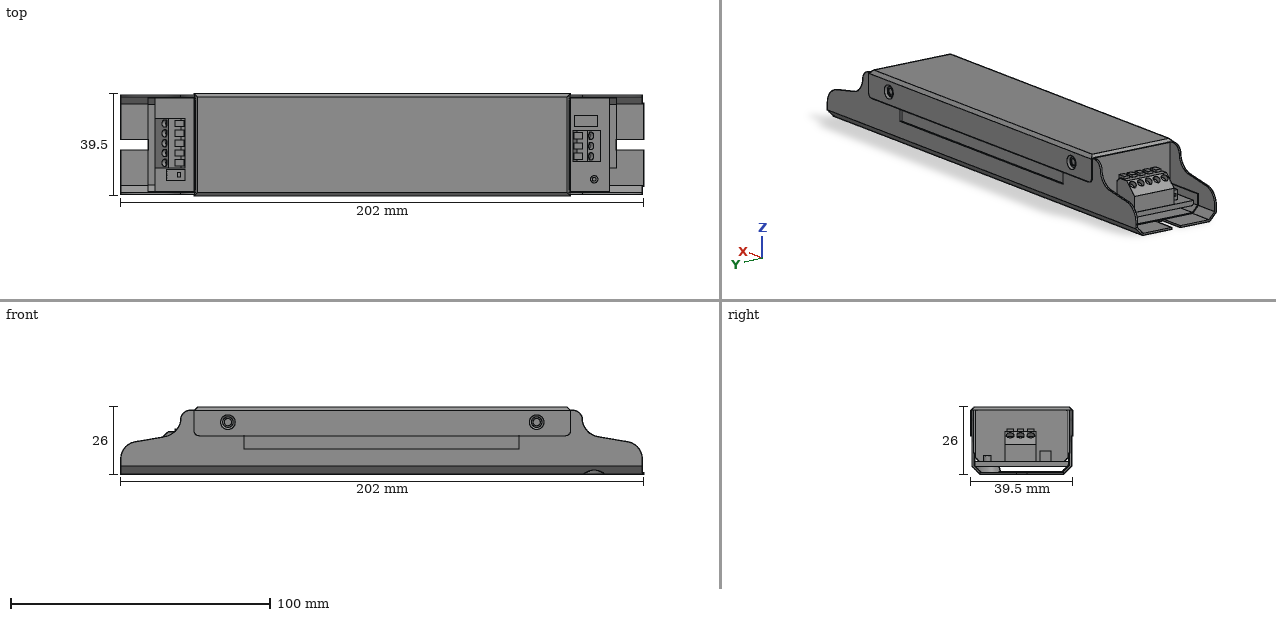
import cadquery as cq

channel_left = -101.0
channel_right = 100.4
channel_width = 38.5
channel_height = 24.8
channel_sheet = 0.8
channel_corner = 3.2
end_tab = 0.6
tie_slot_width = 4.0
tie_slot_length = 11.3
side_slot_length = 106.3
side_slot_bottom = 9.9
side_slot_top = 18.2

film_sheet = 0.5
film_length = 180.8
film_height = 8.3
film_notch_start = 74.7
film_notch_side = -8.9

board_length = 175.5
board_bottom = 3.0
board_top = 5.0

cover_length = 145.5
cover_width = 39.5
cover_top = 26.0
cover_bottom = 15.0
cover_bevel = 1.5
flap_corner = 2.0
housing_sheet = 0.6
housing_gap = 0.6
housing_bevel = 1.5

screw_spacing = 119.2
screw_height = 20.2
screw_head_diameter = 5.7
screw_socket_diameter = 2.8
screw_head_depth = 0.8
screw_socket_depth = 1.2

terminal_front_height = 11.5
terminal_top = 16.5
terminal_back_bevel = 1.6
wire_hole_diameter = 2.8
wire_hole_depth = 2.0
wire_hole_height = 15.2
button_length = 3.5
button_width = 2.5
button_top = 17.5
button_setback = 0.5

connector_top = 9.0
connector_socket = 1.0
connector_socket_depth = 1.6
connector_socket_pitch = 1.6
connector_socket_height = 7.0
lever_length = 1.2
lever_width = 1.8
lever_top = 10.3
pin_x = 81.8
pin_y = -13.3
pin_diameter = 2.8
pin_bore = 1.5
pin_bore_depth = 1.6
pin_top = 7.3

dimple_base_diameter = 11.0
dimple_top_diameter = 9.3
dimple_sheet = 0.5
dimple_depth = 2.2

channel_length = channel_right - channel_left
channel_middle = (channel_left + channel_right) / 2
channel_inside = channel_width - 2 * channel_sheet
film_inside = channel_inside - 2 * film_sheet
housing_width = channel_inside - 2 * housing_gap
bevel_shrink = 2 - 2 ** 0.5


def block(x_min, x_max, y_min, y_max, z_min, z_max):
    """Box given by its limits along the three axes."""
    size = (x_max - x_min, y_max - y_min, z_max - z_min)
    return cq.Workplane("XY").box(*size, centered=False).translate((x_min, y_min, z_min))


def bevelled_section(width, bottom, top, bevel):
    """Points of a trough outline in YZ with 45-degree lower corners."""
    half = width / 2
    return [
        (half - bevel, bottom),
        (half, bottom + bevel),
        (half, top),
        (-half, top),
        (-half, bottom + bevel),
        (bevel - half, bottom),
    ]


def trough(x_min, x_max, width, bottom, top, bevel, sheet):
    """Open trough along X; the sheet keeps its thickness round the bevels."""
    length = x_max - x_min
    inner_bevel = bevel - sheet * bevel_shrink
    outer = bevelled_section(width, bottom, top, bevel)
    inner = bevelled_section(width - 2 * sheet, bottom + sheet, top, inner_bevel)
    plane = cq.Workplane("YZ", origin=(x_min, 0, 0))
    shell = plane.polyline(outer).close().extrude(length)
    return shell.cut(plane.polyline(inner).close().extrude(length))


def side_profile():
    """Side outline of the channel: low rounded ends rising in an S to full height."""
    half = channel_length / 2
    right_half = (
        cq.Workplane("XZ", origin=(channel_middle, channel_width / 2, 0))
        .moveTo(0, 0)
        .lineTo(half, 0)
        .lineTo(half, 6.3)
        .threePointArc((99.0, 10.5), (94.7, 12.7))
        .lineTo(84.0, 14.5)
        .threePointArc((79.4, 17.0), (77.5, 20.6))
        .lineTo(77.5, 21.6)
        .threePointArc((76.4, 23.8), (73.5, channel_height))
        .lineTo(0, channel_height)
        .close()
        .extrude(channel_width)
    )
    left_half = right_half.mirror("YZ", (channel_middle, 0, 0))
    return right_half.union(left_half)


def make_channel():
    """Channel with floor tabs at +X, tie slots at both ends and a slot in each wall."""
    channel = trough(
        channel_left, channel_right, channel_width, 0, channel_height, channel_corner, channel_sheet
    ).intersect(side_profile())
    tab_half = channel_width / 2 - channel_corner
    tab_end = channel_right + end_tab
    channel = channel.union(block(channel_right, tab_end, -tab_half, tab_half, 0, channel_sheet))
    slot_half = tie_slot_width / 2
    for start in (channel_left, tab_end - tie_slot_length):
        end = start + tie_slot_length
        channel = channel.cut(block(start, end, -slot_half, slot_half, 0, channel_sheet))
    half_slot = side_slot_length / 2
    half_width = channel_width / 2
    return channel.cut(
        block(
            channel_middle - half_slot, channel_middle + half_slot,
            -half_width, half_width, side_slot_bottom, side_slot_top,
        )
    )


def make_film():
    """Film trough, open beside the dimple."""
    half = film_length / 2
    film = trough(
        -half, half, channel_inside, channel_sheet, film_height,
        channel_corner - channel_sheet * bevel_shrink, film_sheet,
    )
    return film.cut(
        block(film_notch_start, half, -channel_inside / 2, film_notch_side, 0, film_height)
    )


def make_board():
    """Flat board between the upright sides of the film."""
    half = board_length / 2
    side = film_inside / 2
    return block(-half, half, -side, side, board_bottom, board_top)


def make_housing():
    """Box without top or bottom: end plates and side walls resting on the board."""
    half = cover_length / 2
    side = housing_width / 2
    outline = bevelled_section(housing_width, board_top, channel_height, housing_bevel)
    plane = cq.Workplane("YZ", origin=(-half, 0, 0))
    housing = plane.polyline(outline).close().extrude(cover_length)
    return housing.cut(
        block(
            housing_sheet - half, half - housing_sheet,
            housing_sheet - side, side - housing_sheet, board_top, channel_height,
        )
    )


def make_cover():
    """Lid with thin flaps lying on the outside of the channel walls."""
    half = cover_length / 2
    side = cover_width / 2
    cover = block(-half, half, -side, side, cover_bottom, cover_top)
    cover = cover.faces(">Z").edges().chamfer(cover_bevel)
    cover = cover.faces("<Z").edges("|Y").fillet(flap_corner)
    wall = channel_width / 2
    return cover.cut(block(-half, half, -wall, wall, cover_bottom, channel_height))


def screw_recess(x, side):
    """Conical head recess with a blind socket, cut into the flap at side = -1 or +1."""
    outside = cq.Plane((x, side * cover_width / 2, screw_height), (1, 0, 0), (0, side, 0))
    head = (
        cq.Workplane(outside)
        .circle(screw_head_diameter / 2)
        .workplane(offset=-screw_head_depth)
        .circle(screw_head_diameter / 2 - screw_head_depth)
        .loft()
    )
    socket = cq.Workplane(outside).circle(screw_socket_diameter / 2).extrude(-screw_socket_depth)
    return head.union(socket)


def make_terminal(front_x, back_x, y_min, y_max, poles):
    """Terminal block with a 45-degree wire entry facing away from the cover."""
    outward = 1 if front_x > back_x else -1
    slope = terminal_top - terminal_front_height
    outline = [
        (front_x, board_top),
        (front_x, terminal_front_height),
        (front_x - outward * slope, terminal_top),
        (back_x + outward * terminal_back_bevel, terminal_top),
        (back_x, terminal_top - terminal_back_bevel),
        (back_x, board_top),
    ]
    plane = cq.Workplane("XZ", origin=(0, y_max, 0))
    terminal = plane.polyline(outline).close().extrude(y_max - y_min)
    pitch = (y_max - y_min) / poles
    hole_x = front_x - outward * (wire_hole_height - terminal_front_height)
    button_back = back_x + outward * button_setback
    button_front = button_back + outward * button_length
    button_start, button_end = sorted((button_back, button_front))
    for pole in range(poles):
        y = y_min + (pole + 0.5) * pitch
        entry = cq.Plane((hole_x, y, wire_hole_height), (0, 1, 0), (outward, 0, 1))
        terminal = terminal.cut(
            cq.Workplane(entry).circle(wire_hole_diameter / 2).extrude(-wire_hole_depth)
        )
        terminal = terminal.union(
            block(
                button_start, button_end, y - button_width / 2, y + button_width / 2,
                board_top, button_top,
            )
        )
    return terminal


def make_connector(x_min, x_max, y_min, y_max):
    """Two-pole connector with square sockets towards -X and a release lever on top."""
    connector = block(x_min, x_max, y_min, y_max, board_top, connector_top)
    y_middle = (y_min + y_max) / 2
    half = connector_socket / 2
    for side in (-1, 1):
        y = y_middle + side * connector_socket_pitch / 2
        connector = connector.cut(
            block(
                x_min, x_min + connector_socket_depth, y - half, y + half,
                connector_socket_height - half, connector_socket_height + half,
            )
        )
    lever_x = (x_min + 2 * x_max) / 3
    lever = block(
        lever_x - lever_length / 2, lever_x + lever_length / 2,
        y_middle - lever_width / 2, y_middle + lever_width / 2, connector_top, lever_top,
    )
    return connector.union(lever)


def make_pin():
    """Tubular pin standing on the board."""
    base = cq.Workplane("XY", origin=(pin_x, pin_y, board_top))
    pin = base.circle(pin_diameter / 2).extrude(pin_top - board_top)
    return pin.faces(">Z").workplane().hole(pin_bore, pin_bore_depth)


def pin_cone(base_diameter, top_diameter, height):
    """Upright frustum standing at Z = 0 under the pin."""
    return (
        cq.Workplane("XY", origin=(pin_x, pin_y, 0))
        .circle(base_diameter / 2)
        .workplane(offset=height)
        .circle(top_diameter / 2)
        .loft()
    )


def make_dimple():
    """Frustum kept inside the outer surface of the channel."""
    outline = bevelled_section(channel_width, 0, channel_height, channel_corner)
    envelope = cq.Workplane("YZ").polyline(outline).close().extrude(channel_right)
    return pin_cone(dimple_base_diameter, dimple_top_diameter, board_bottom).intersect(envelope)


result = make_channel()
parts = [
    make_film(),
    make_board(),
    make_housing(),
    make_cover(),
    make_terminal(front_x=-87.7, back_x=-76.2, y_min=-8.9, y_max=10.0, poles=5),
    make_terminal(front_x=84.2, back_x=73.5, y_min=-6.5, y_max=5.5, poles=3),
    make_connector(x_min=-83.2, x_max=-76.2, y_min=-13.7, y_max=-9.5),
    block(x_min=74.1, x_max=83.0, y_min=7.0, y_max=11.3, z_min=board_top, z_max=connector_top),
    make_pin(),
    make_dimple(),
]
for part in parts:
    result = result.union(part)

dimple_walls = 2 * dimple_sheet
result = result.cut(
    pin_cone(dimple_base_diameter - dimple_walls, dimple_top_diameter - dimple_walls, dimple_depth)
)

for screw_x in (-screw_spacing / 2, screw_spacing / 2):
    for screw_side in (-1, 1):
        result = result.cut(screw_recess(screw_x, screw_side))